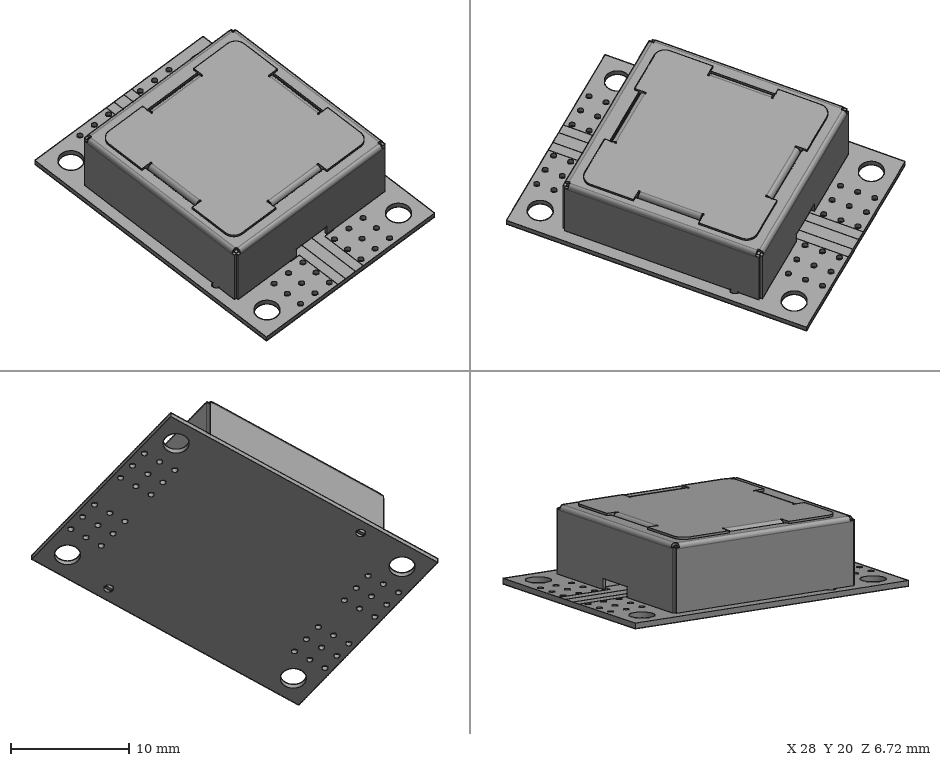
import cadquery as cq

board_length = 28.0
board_width = 20.0
board_thickness = 0.5
overall_height = 6.72

mount_hole_diameter = 2.2
mount_hole_x = 11.85
mount_hole_y = 7.8
via_diameter = 0.5
via_columns = 3
via_rows = 3
via_inner_x = 10.15
via_inner_y = 1.88
via_pitch_x = 1.6
via_pitch_y = 1.7

copper_thickness = 0.005
trace_width = 1.18
channel_width = 3.02
clearing_width = 5.05
clearing_start_x = -8.75
clearing_end_x = 9.35

shield_length = 18.6
shield_width = 17.92
sheet_thickness = 0.25
bend_radius = 0.42
corner_step = 0.22
bend_relief = 0.53
bend_relief_height = 0.35
opening_width = 3.65
opening_height = 0.95

pin_width = 0.67
pin_x = 6.78
pin_hole_diameter = 0.8

cover_size = 16.1
cover_thickness = 0.2
cover_corner_radius = 1.0
tab_tip = 7.5
tab_width = 5.82
tab_bend_radius = 0.48
slot_width = 6.08
slot_outer = 7.62
slot_inner = 6.97

board_top = board_thickness
shield_top = overall_height - cover_thickness
shield_height = shield_top - board_top
roof_underside = shield_top - sheet_thickness
cut_margin = 0.28


def block(x_start, x_end, y_start, y_end, z_start, z_end):
    """Box given by its limits along each axis."""
    size = (x_end - x_start, y_end - y_start, z_end - z_start)
    return cq.Workplane("XY").box(*size, centered=False).translate((x_start, y_start, z_start))


def centered_block(length, width, z_start, z_end):
    """Box centred on the Z axis."""
    return block(-length / 2, length / 2, -width / 2, width / 2, z_start, z_end)


def mirrored_points(x, y):
    """The same point in all four quadrants."""
    return [(sx * x, sy * y) for sx in (-1, 1) for sy in (-1, 1)]


def drill(body, points, diameter):
    """Cut through holes in the board."""
    holes = cq.Workplane("XY").pushPoints(points).circle(diameter / 2).extrude(board_thickness)
    return body.cut(holes)


pin_y = (shield_width - sheet_thickness) / 2
pin_points = [(-pin_x, pin_y), (pin_x, -pin_y)]


def make_board():
    board = centered_block(board_length, board_width, 0, board_thickness)

    copper_bottom = board_top - copper_thickness
    bare = centered_block(board_length, channel_width, copper_bottom, board_top)
    bare = bare.union(
        block(
            clearing_start_x, clearing_end_x,
            -clearing_width / 2, clearing_width / 2,
            copper_bottom, board_top,
        )
    )
    bare = bare.cut(centered_block(board_length, trace_width, copper_bottom, board_top))
    board = board.cut(bare)

    via_points = []
    for column in range(via_columns):
        for row in range(via_rows):
            x = via_inner_x + column * via_pitch_x
            y = via_inner_y + row * via_pitch_y
            via_points += mirrored_points(x, y)
    board = drill(board, via_points, via_diameter)
    board = drill(board, mirrored_points(mount_hole_x, mount_hole_y), mount_hole_diameter)
    return drill(board, pin_points, pin_hole_diameter)


def make_shield():
    shield = centered_block(shield_length, shield_width, board_top, shield_top)
    shield = shield.faces(">Z").edges().fillet(bend_radius)
    cavity = centered_block(
        shield_length - 2 * sheet_thickness,
        shield_width - 2 * sheet_thickness,
        board_top,
        roof_underside,
    )
    cavity = cavity.faces(">Z").edges().fillet(bend_radius - sheet_thickness)
    shield = shield.cut(cavity)

    corners = mirrored_points(shield_length / 2, shield_width / 2)
    wall_steps = (
        cq.Workplane("XY").workplane(offset=board_top).pushPoints(corners)
        .rect(2 * corner_step, 2 * corner_step).extrude(shield_height)
    )
    bend_reliefs = (
        cq.Workplane("XY").workplane(offset=shield_top - bend_relief_height).pushPoints(corners)
        .rect(2 * bend_relief, 2 * bend_relief).extrude(bend_relief_height)
    )
    shield = shield.cut(wall_steps).cut(bend_reliefs)

    opening_length = shield_length + 2 * cut_margin
    opening_top = board_top + opening_height
    shield = shield.cut(centered_block(opening_length, opening_width, board_top, opening_top))

    pins = (
        cq.Workplane("XY").pushPoints(pin_points)
        .rect(pin_width, sheet_thickness).extrude(opening_top)
    )
    return shield.union(pins)


def make_slot(z_start, z_end, outer):
    """Slot volume on the +Y side, from the tab root out to the given distance."""
    return block(-slot_width / 2, slot_width / 2, slot_inner, outer, z_start, z_end)


def make_tab():
    """Quarter-round tab on the +Y side, bending down from the cover."""
    bend_start = tab_tip - tab_bend_radius
    bend_center_z = overall_height - tab_bend_radius
    inner_radius = tab_bend_radius - cover_thickness
    return (
        cq.Workplane("YZ")
        .moveTo(slot_inner, overall_height)
        .lineTo(bend_start, overall_height)
        .radiusArc((tab_tip, bend_center_z), tab_bend_radius)
        .lineTo(tab_tip - cover_thickness, bend_center_z)
        .radiusArc((bend_start, bend_center_z + inner_radius), -inner_radius)
        .lineTo(slot_inner, shield_top)
        .close()
        .extrude(tab_width / 2, both=True)
    )


def make_cover():
    cover = centered_block(cover_size, cover_size, shield_top, overall_height)
    return cover.edges("|Z").fillet(cover_corner_radius)


def around(body):
    """The four copies of a +Y side feature, one for each side of the cover."""
    return [body.rotate((0, 0, 0), (0, 0, 1), 90 * quarter) for quarter in range(4)]


shield = make_shield()
for slot in around(make_slot(roof_underside, shield_top, slot_outer)):
    shield = shield.cut(slot)

cover = make_cover()
for notch in around(make_slot(shield_top, overall_height, cover_size / 2)):
    cover = cover.cut(notch)
for tab in around(make_tab()):
    cover = cover.union(tab)

result = make_board().union(shield).union(cover)